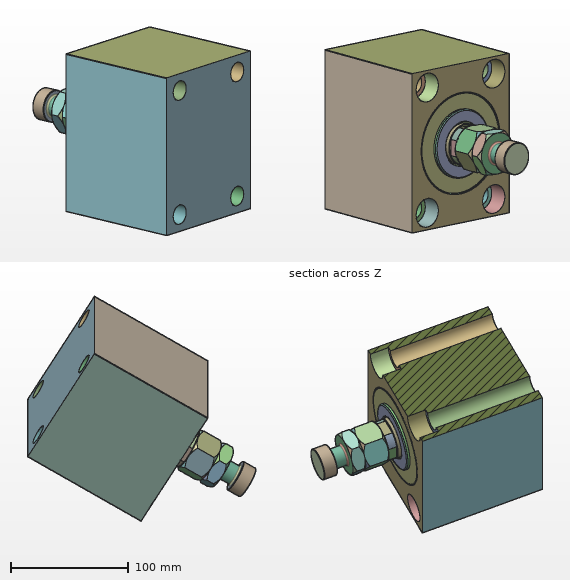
import cadquery as cq
import math


housing_length = 113.0
housing_width = 110.0
housing_height = 140.0
housing_edge_chamfer = 0.5

hole_spacing_y = 75.0
hole_spacing_z = 110.0
hole_diameter = 17.0
counterbore_diameter = 25.0
counterbore_depth = 17.0

gland_diameter = 87.0
gland_depth = 20.0
gland_bore_chamfer = 1.0
gland_collar_diameter = 60.0
gland_collar_height = 3.0
gland_collar_chamfer = 1.0
wiper_recess_diameter = 39.0
wiper_recess_depth = 1.5

rod_diameter = 36.0
rod_exposed_length = 3.0
rod_chamfer = 0.5
wrench_diameter = 35.0
wrench_across_flats = 32.0
wrench_length = 8.0
wrench_end_chamfer = 0.5

hex_across_flats = 36.0
hex_across_corners = hex_across_flats / math.cos(math.radians(30))
long_hex_length = 22.0
short_hex_length = 12.0
neck_diameter = 18.0
neck_length = 12.5
neck_fillet = 1.5
head_diameter = 28.0
head_length = 12.5
head_chamfer = 0.5

collar_end = -gland_collar_height
rod_shoulder = collar_end - rod_exposed_length
rod_end = rod_shoulder - wrench_length
long_hex_end = rod_end - long_hex_length
short_hex_end = long_hex_end - short_hex_length
neck_end = short_hex_end - neck_length


def cylinder(diameter, start, end):
    """Cylinder on the X axis between two places along X."""
    return cq.Workplane("YZ", origin=(start, 0, 0)).circle(diameter / 2).extrude(end - start)


def make_housing():
    block = (
        cq.Workplane("XY")
        .box(housing_length, housing_width, housing_height, centered=(False, True, True))
        .edges("|X")
        .chamfer(housing_edge_chamfer)
    )
    block = block.cut(cylinder(gland_diameter, 0, gland_depth))
    block = block.edges(cq.selectors.RadiusNthSelector(0)).edges("<X").chamfer(gland_bore_chamfer)
    holes = cq.Workplane("YZ").rarray(hole_spacing_y, hole_spacing_z, 2, 2)
    through_holes = holes.circle(hole_diameter / 2).extrude(housing_length)
    counterbores = holes.circle(counterbore_diameter / 2).extrude(counterbore_depth)
    return block.cut(through_holes).cut(counterbores)


def make_gland():
    collar = cylinder(gland_collar_diameter, collar_end, 0).faces("<X").chamfer(gland_collar_chamfer)
    gland = cylinder(gland_diameter, 0, gland_depth).union(collar)
    rod_bore = cylinder(rod_diameter, collar_end, gland_depth)
    wiper_recess = cylinder(wiper_recess_diameter, collar_end, collar_end + wiper_recess_depth)
    return gland.cut(rod_bore).cut(wiper_recess)


def make_rod():
    rod = cylinder(rod_diameter, rod_shoulder, gland_depth).faces("<X").chamfer(rod_chamfer)
    flats = cq.Workplane("YZ", origin=(rod_end, 0, 0)).rect(wrench_across_flats, wrench_across_flats)
    wrench_end = cylinder(wrench_diameter, rod_end, rod_shoulder).faces("<X").chamfer(wrench_end_chamfer)
    wrench_end = wrench_end.intersect(flats.extrude(wrench_length))
    return rod.union(wrench_end)


def make_hexagon(start, length):
    """Hexagon with its flats facing Z and its corners chamfered at both ends."""
    hexagon = cq.Workplane("YZ", origin=(start, 0, 0)).polygon(6, hex_across_corners).extrude(length)
    corner_chamfer = (hex_across_corners - hex_across_flats) / 2
    envelope = cylinder(hex_across_corners, start, start + length).faces("<X or >X").chamfer(corner_chamfer)
    return hexagon.intersect(envelope)


def make_coupling():
    neck_radius = neck_diameter / 2
    head_radius = head_diameter / 2
    head_end = neck_end - head_length
    fillet_radius = neck_radius + neck_fillet
    fillet_centers = [neck_end + neck_fillet, short_hex_end - neck_fillet]
    fillet_sag = neck_fillet * math.sin(math.radians(45))
    arc_radius = fillet_radius - fillet_sag
    pin = (
        cq.Workplane("XY")
        .moveTo(short_hex_end, 0)
        .lineTo(short_hex_end, fillet_radius)
        .threePointArc((fillet_centers[1] + fillet_sag, arc_radius), (fillet_centers[1], neck_radius))
        .lineTo(fillet_centers[0], neck_radius)
        .threePointArc((fillet_centers[0] - fillet_sag, arc_radius), (neck_end, fillet_radius))
        .lineTo(neck_end, head_radius - head_chamfer)
        .lineTo(neck_end - head_chamfer, head_radius)
        .lineTo(head_end + head_chamfer, head_radius)
        .lineTo(head_end, head_radius - head_chamfer)
        .lineTo(head_end, 0)
        .close()
        .revolve(360, (0, 0, 0), (1, 0, 0))
    )
    long_hex = make_hexagon(long_hex_end, long_hex_length)
    short_hex = make_hexagon(short_hex_end, short_hex_length)
    return long_hex.union(short_hex).union(pin)


housing = make_housing()
gland = make_gland()
rod = make_rod()
coupling = make_coupling()

result = cq.Compound.makeCompound([housing.val(), gland.val(), rod.val(), coupling.val()])